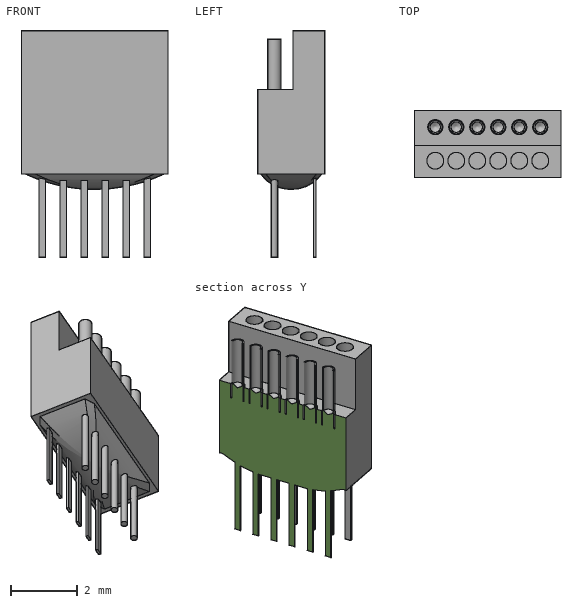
import cadquery as cq
import math

WIDTH = 4.445
DEPTH = 2.032
HEIGHT = 4.34
STEP_DROP = 1.778
TALL_DEPTH = 0.965
LEDGE_Z = HEIGHT - STEP_DROP
FRONT_Y = -DEPTH / 2

CONTACT_COUNT = 6
PITCH = 0.635
LEAD_LENGTH = 2.52
SOCKET_INSET = 0.508
ROW_SPACING = 1.016
SOCKET_Y = FRONT_Y + SOCKET_INSET
TUBE_Y = SOCKET_Y + ROW_SPACING

SOCKET_DIAMETER = 0.508
SOCKET_DEPTH = STEP_DROP
FLAT_LEAD_INSET = 0.305
FLAT_LEAD_Y = FRONT_Y + FLAT_LEAD_INSET
FLAT_LEAD_WIDTH = 0.203
FLAT_LEAD_THICKNESS = 0.076

TUBE_DIAMETER = 0.406
TUBE_TOP_DROP = 0.26
TUBE_TOP_Z = HEIGHT - TUBE_TOP_DROP
BORE_DIAMETER = 0.315
BORE_DEPTH = 1.5
BORE_TIP_ANGLE = 118
CLEARANCE_DIAMETER = 0.457
CLEARANCE_DEPTH = 0.5
ROUND_LEAD_DIAMETER = 0.203

BULGE_HALF_X = 2.10
BULGE_HALF_Y = 0.925
BULGE_SAG = 0.468
CORNER_CUT_X = 0.30
CORNER_CUT_Y = 0.16


def row_points(y):
    """Contact centres of one row."""
    first_x = -PITCH * (CONTACT_COUNT - 1) / 2
    return [(first_x + i * PITCH, y) for i in range(CONTACT_COUNT)]


def cylinders(points, diameter, bottom_z, top_z):
    """Upright cylinders at the given points."""
    plane = cq.Workplane("XY").workplane(offset=bottom_z)
    return plane.pushPoints(points).circle(diameter / 2).extrude(top_z - bottom_z)


def make_housing():
    """Stepped block."""
    step_y = FRONT_Y + TALL_DEPTH
    outline = [
        (FRONT_Y, 0),
        (-FRONT_Y, 0),
        (-FRONT_Y, LEDGE_Z),
        (step_y, LEDGE_Z),
        (step_y, HEIGHT),
        (FRONT_Y, HEIGHT),
    ]
    return cq.Workplane("YZ").polyline(outline).close().extrude(WIDTH / 2, both=True)


def make_arch(half_span, direction):
    """Hanging arch whose span points along the given angle in the XY plane."""
    arch = (
        cq.Workplane("XZ")
        .moveTo(-half_span, 0)
        .threePointArc((0, -BULGE_SAG), (half_span, 0))
        .close()
        .extrude(WIDTH, both=True)
    )
    return arch.rotate((0, 0, 0), (0, 0, 1), direction)


def make_bulge():
    """Arches along X, Y and both corner directions, intersected."""
    corner_angle = math.atan2(CORNER_CUT_X, CORNER_CUT_Y)
    corner_half_span = (
        BULGE_HALF_X * math.cos(corner_angle)
        + (BULGE_HALF_Y - CORNER_CUT_Y) * math.sin(corner_angle)
    )
    bulge = make_arch(BULGE_HALF_X, 0).intersect(make_arch(BULGE_HALF_Y, 90))
    for sign in (-1, 1):
        bulge = bulge.intersect(make_arch(corner_half_span, sign * math.degrees(corner_angle)))
    return bulge


def make_bores(points):
    """Tube bores ending in a drill point."""
    radius = BORE_DIAMETER / 2
    tip_depth = radius / math.tan(math.radians(BORE_TIP_ANGLE / 2))
    profile = [(0, 0), (radius, 0), (radius, -BORE_DEPTH), (0, -BORE_DEPTH - tip_depth)]
    bore = cq.Workplane("XZ").polyline(profile).close().revolve(360, (0, 0), (0, 1)).val()
    bores = cq.Workplane("XY")
    for x, y in points:
        bores = bores.add(bore.translate(cq.Vector(x, y, TUBE_TOP_Z)))
    return bores.combine()


def make_flat_leads():
    """Rectangular leads of the front row."""
    return (
        cq.Workplane("XY")
        .workplane(offset=-LEAD_LENGTH)
        .pushPoints(row_points(FLAT_LEAD_Y))
        .rect(FLAT_LEAD_WIDTH, FLAT_LEAD_THICKNESS)
        .extrude(LEAD_LENGTH)
    )


tube_points = row_points(TUBE_Y)
clearance_floor_z = LEDGE_Z - CLEARANCE_DEPTH

result = make_housing().union(make_bulge())
result = result.cut(
    cylinders(row_points(SOCKET_Y), SOCKET_DIAMETER, HEIGHT - SOCKET_DEPTH, HEIGHT)
)
result = result.cut(cylinders(tube_points, CLEARANCE_DIAMETER, clearance_floor_z, LEDGE_Z))
result = result.union(cylinders(tube_points, TUBE_DIAMETER, clearance_floor_z, TUBE_TOP_Z))
result = result.cut(make_bores(tube_points))
result = result.union(cylinders(tube_points, ROUND_LEAD_DIAMETER, -LEAD_LENGTH, 0))
result = result.union(make_flat_leads())